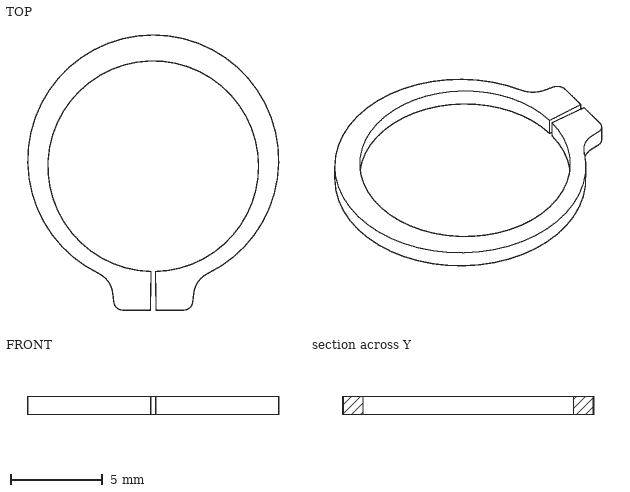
import cadquery as cq
import math

overall_length = 15.05
thickness = 1.0
outer_radius = 6.86
bore_radius = 5.75
bore_center_y = -0.32

lug_end_y = outer_radius - overall_length
lug_end_half_width = 2.1
lug_side_angle = 7.0
lug_root_y = -5.27
lug_corner_radius = 0.51
root_fillet_radius = 1.37

gap_half_angle = 1.1


def make_lug_block():
    """Trapezoid joining both lugs, sunk into the band at its root."""
    root_half_width = lug_end_half_width + (lug_root_y - lug_end_y) * math.tan(math.radians(lug_side_angle))
    return (
        cq.Workplane("XY")
        .polyline([
            (-lug_end_half_width, lug_end_y),
            (lug_end_half_width, lug_end_y),
            (root_half_width, lug_root_y),
            (-root_half_width, lug_root_y),
        ])
        .close()
        .extrude(thickness)
    )


def make_gap():
    """Wedge that splits the ring between the lugs, with its apex at the bore center."""
    depth = bore_center_y - lug_end_y
    half_width = depth * math.tan(math.radians(gap_half_angle))
    return (
        cq.Workplane("XY")
        .polyline([(0, bore_center_y), (-half_width, lug_end_y), (half_width, lug_end_y)])
        .close()
        .extrude(thickness)
    )


body = cq.Workplane("XY").circle(outer_radius).extrude(thickness).union(make_lug_block())

body = body.faces("<Y").edges("|Z").fillet(lug_corner_radius)
root_zone = cq.selectors.BoxSelector(
    (-outer_radius, -outer_radius, 0),
    (outer_radius, lug_root_y, thickness),
)
body = body.edges(cq.selectors.AndSelector(root_zone, cq.selectors.ParallelDirSelector(cq.Vector(0, 0, 1))))
body = body.fillet(root_fillet_radius)

bore = cq.Workplane("XY").center(0, bore_center_y).circle(bore_radius).extrude(thickness)
result = body.cut(bore).cut(make_gap())